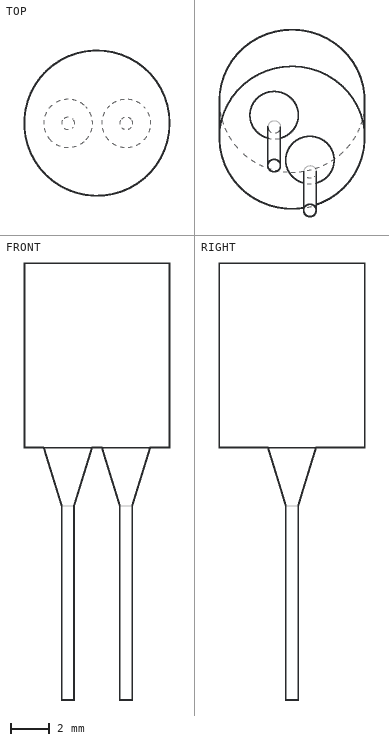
import cadquery as cq

total_height = 22.5

housing_diameter = 7.5
housing_height = 9.5

lead_spacing = 3.0
wire_diameter = 0.65
root_diameter = 2.5
root_height = 3.0

housing_bottom = total_height - housing_height
wire_length = housing_bottom - root_height


def make_housing():
    """Plain cylinder standing on the lead roots."""
    return (
        cq.Workplane("XY")
        .workplane(offset=housing_bottom)
        .circle(housing_diameter / 2)
        .extrude(housing_height)
    )


def make_lead(x):
    """Wire and conical root, revolved as one solid about a vertical axis at x."""
    wire_radius = wire_diameter / 2
    root_radius = root_diameter / 2
    profile = (
        cq.Workplane("XZ")
        .moveTo(0, 0)
        .lineTo(wire_radius, 0)
        .lineTo(wire_radius, wire_length)
        .lineTo(root_radius, housing_bottom)
        .lineTo(0, housing_bottom)
        .close()
    )
    lead = profile.revolve(360, (0, 0, 0), (0, 1, 0))
    return lead.translate((x, 0, 0))


housing = make_housing()

leads = []
for side in (-1, 1):
    lead = make_lead(side * lead_spacing / 2)
    leads.append(lead.val())

result = cq.Compound.makeCompound([housing.val(), *leads])